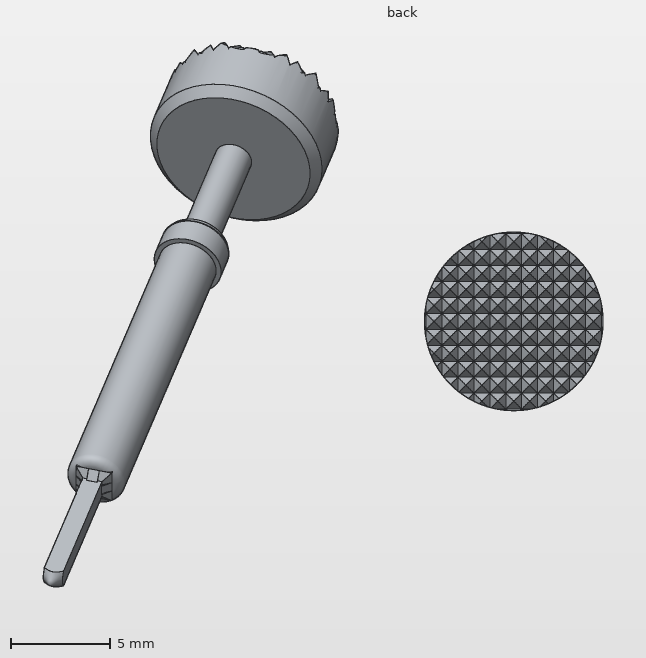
import cadquery as cq
import math

TOTAL_LENGTH = 37.3

HEAD_RADIUS = 9.0 / 2
HEAD_LENGTH = 4.0
HEAD_CHAMFER = 0.5
TOOTH_ROW_SPAN = 8.02
TEETH_ACROSS = 11
TOOTH_PITCH = TOOTH_ROW_SPAN / (TEETH_ACROSS - 1)
TOOTH_ANGLE = 60.0

SHAFT_RADIUS = 1.9 / 2

COLLAR_RADIUS = 1.75
COLLAR_BACK_Y = 25.0
COLLAR_EDGE_Y = 26.4
BARREL_TOP_Y = 27.05
ROLL_START_RADIUS = 1.7
ROLL_MIDDLE_RADIUS = 1.6
ROLL_MIDDLE_Y = 26.7
ROLL_END_RADIUS = 1.35
ROLL_END_Y = 26.85
BARREL_RADIUS = 1.5
BARREL_END_Y = 8.0
BARREL_END_FILLET = 0.5

PIN_SIDE = 1.0
ROOT_SIDE = 1.85
ROOT_LENGTH = 0.3
RIB_WIDTH = 0.55
RIB_LENGTH = 0.4

HEAD_BACK_Y = TOTAL_LENGTH - HEAD_LENGTH


def head():
    """Chamfered disc whose end face is cut into pyramids by two crossing sets of V grooves."""
    disc = (
        cq.Workplane("XZ", origin=(0, TOTAL_LENGTH, 0))
        .circle(HEAD_RADIUS)
        .extrude(HEAD_LENGTH)
        .faces("<Y")
        .chamfer(HEAD_CHAMFER)
    )
    half_pitch = TOOTH_PITCH / 2
    tooth_depth = half_pitch / math.tan(math.radians(TOOTH_ANGLE / 2))
    first_groove_x = -TEETH_ACROSS * half_pitch
    for index in range(TEETH_ACROSS + 1):
        groove_x = first_groove_x + index * TOOTH_PITCH
        groove = (
            cq.Workplane("XY")
            .moveTo(groove_x - half_pitch, TOTAL_LENGTH)
            .lineTo(groove_x, TOTAL_LENGTH - tooth_depth)
            .lineTo(groove_x + half_pitch, TOTAL_LENGTH)
            .close()
            .extrude(HEAD_RADIUS, both=True)
        )
        crossing_groove = groove.rotate((0, 0, 0), (0, 1, 0), 90)
        disc = disc.cut(groove).cut(crossing_groove)
    return disc


def shaft_and_barrel():
    """Turned body: plunger shaft, rolled-in collar and round-ended barrel."""
    fillet_middle = BARREL_END_FILLET * (1 - math.sqrt(0.5))
    return (
        cq.Workplane("XY")
        .moveTo(0, HEAD_BACK_Y)
        .lineTo(SHAFT_RADIUS, HEAD_BACK_Y)
        .lineTo(SHAFT_RADIUS, BARREL_TOP_Y)
        .lineTo(ROLL_END_RADIUS, ROLL_END_Y)
        .threePointArc((ROLL_MIDDLE_RADIUS, ROLL_MIDDLE_Y), (ROLL_START_RADIUS, COLLAR_EDGE_Y))
        .lineTo(COLLAR_RADIUS, COLLAR_EDGE_Y)
        .lineTo(COLLAR_RADIUS, COLLAR_BACK_Y)
        .lineTo(BARREL_RADIUS, COLLAR_BACK_Y)
        .lineTo(BARREL_RADIUS, BARREL_END_Y + BARREL_END_FILLET)
        .threePointArc(
            (BARREL_RADIUS - fillet_middle, BARREL_END_Y + fillet_middle),
            (BARREL_RADIUS - BARREL_END_FILLET, BARREL_END_Y),
        )
        .lineTo(0, BARREL_END_Y)
        .close()
        .revolve(360, (0, 0, 0), (0, 1, 0))
    )


def tail_pin():
    """Square pin with its tip turned to a 90 degree cone."""
    square = cq.Workplane("XZ").rect(PIN_SIDE, PIN_SIDE).extrude(-BARREL_END_Y)
    half_diagonal = PIN_SIDE / math.sqrt(2)
    pointed_round = (
        cq.Workplane("XY")
        .lineTo(half_diagonal, half_diagonal)
        .lineTo(half_diagonal, BARREL_END_Y)
        .lineTo(0, BARREL_END_Y)
        .close()
        .revolve(360, (0, 0, 0), (0, 1, 0))
    )
    return square.intersect(pointed_round)


def pin_root():
    """Square flare where the pin leaves the barrel, with a sloping rib on each side."""
    root_base_y = BARREL_END_Y + BARREL_END_FILLET
    block = (
        cq.Workplane("XZ", origin=(0, root_base_y, 0))
        .rect(ROOT_SIDE, ROOT_SIDE)
        .extrude(BARREL_END_FILLET)
    )
    flare = (
        cq.Workplane("XZ", origin=(0, BARREL_END_Y, 0))
        .rect(ROOT_SIDE, ROOT_SIDE)
        .workplane(offset=ROOT_LENGTH)
        .rect(PIN_SIDE, PIN_SIDE)
        .loft(ruled=True)
    )
    rib_pair = (
        cq.Workplane("XY")
        .moveTo(-ROOT_SIDE / 2, BARREL_END_Y)
        .lineTo(-PIN_SIDE / 2, BARREL_END_Y - RIB_LENGTH)
        .lineTo(PIN_SIDE / 2, BARREL_END_Y - RIB_LENGTH)
        .lineTo(ROOT_SIDE / 2, BARREL_END_Y)
        .close()
        .extrude(RIB_WIDTH / 2, both=True)
    )
    crossing_pair = rib_pair.rotate((0, 0, 0), (0, 1, 0), 90)
    return block.union(flare).union(rib_pair).union(crossing_pair)


result = shaft_and_barrel().union(head()).union(tail_pin()).union(pin_root())